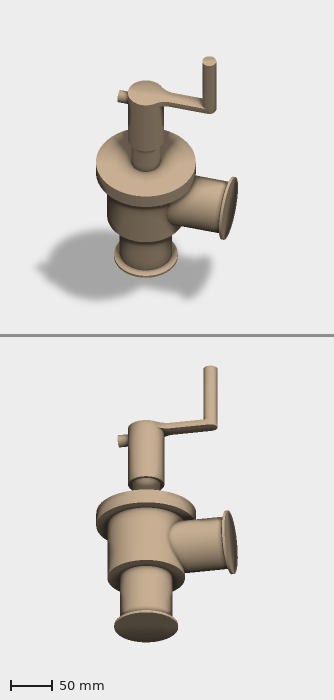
import cadquery as cq
import math

body_diameter = 94.0
body_bottom = 67.5
body_top = 139.5
plate_diameter = 121.0
plate_top = 157.0
stem_diameter = 35.0
sleeve_diameter = 44.0
sleeve_bottom = 195.7
sleeve_top = 272.8

pipe_diameter = 63.5
ferrule_diameter = 77.5
ferrule_rim = 3.0
ferrule_height = 5.5
side_port_level = 105.0
side_port_reach = 105.0

overall_height = 345.8
handle_diameter = 17.0
handle_offset = 79.5
lever_thickness = 7.5
lever_blend_radius = 25.0

pin_diameter = 15.0
pin_reach = 34.0
pin_level = 259.0


def vertical_cylinder(diameter, bottom, top, x=0.0):
    return cq.Workplane("XY", origin=(x, 0, bottom)).circle(diameter / 2).extrude(top - bottom)


def port(length):
    """Pipe rising from a coned clamp ferrule whose outer face is at Z = 0."""
    return (
        cq.Workplane("XZ")
        .lineTo(ferrule_diameter / 2, 0)
        .lineTo(ferrule_diameter / 2, ferrule_rim)
        .lineTo(pipe_diameter / 2, ferrule_height)
        .lineTo(pipe_diameter / 2, length)
        .lineTo(0, length)
        .close()
        .revolve(360, (0, 0, 0), (0, 1, 0))
    )


def crank_lever():
    """Round hub blended by concave arcs into a straight arm with a round end."""
    hub_radius = sleeve_diameter / 2
    half_width = handle_diameter / 2

    centre_y = half_width + lever_blend_radius
    centre_distance = hub_radius + lever_blend_radius
    centre_x = math.sqrt(centre_distance**2 - centre_y**2)
    hub_x = centre_x * hub_radius / centre_distance
    hub_y = centre_y * hub_radius / centre_distance

    middle_angle = (math.atan2(-centre_y, -centre_x) - math.pi / 2) / 2
    middle_x = centre_x + lever_blend_radius * math.cos(middle_angle)
    middle_y = centre_y + lever_blend_radius * math.sin(middle_angle)

    return (
        cq.Workplane("XY", origin=(0, 0, sleeve_top - lever_thickness))
        .moveTo(hub_x, hub_y)
        .threePointArc((-hub_radius, 0), (hub_x, -hub_y))
        .threePointArc((middle_x, -middle_y), (centre_x, -half_width))
        .lineTo(handle_offset, -half_width)
        .threePointArc((handle_offset + half_width, 0), (handle_offset, half_width))
        .lineTo(centre_x, half_width)
        .threePointArc((middle_x, middle_y), (hub_x, hub_y))
        .close()
        .extrude(lever_thickness)
    )


body = vertical_cylinder(body_diameter, body_bottom, body_top)
plate = vertical_cylinder(plate_diameter, body_top, plate_top)
stem = vertical_cylinder(stem_diameter, plate_top, sleeve_bottom)
sleeve = vertical_cylinder(sleeve_diameter, sleeve_bottom, sleeve_top)

bottom_port = port(body_bottom)
side_port = (
    port(side_port_reach)
    .rotate((0, 0, 0), (0, 1, 0), -90)
    .translate((side_port_reach, 0, side_port_level))
)

handle = vertical_cylinder(handle_diameter, sleeve_top - lever_thickness, overall_height, handle_offset)
pin = cq.Workplane("YZ", origin=(-pin_reach, 0, pin_level)).circle(pin_diameter / 2).extrude(pin_reach)

result = body
for piece in (plate, stem, sleeve, bottom_port, side_port, crank_lever(), handle, pin):
    result = result.union(piece)